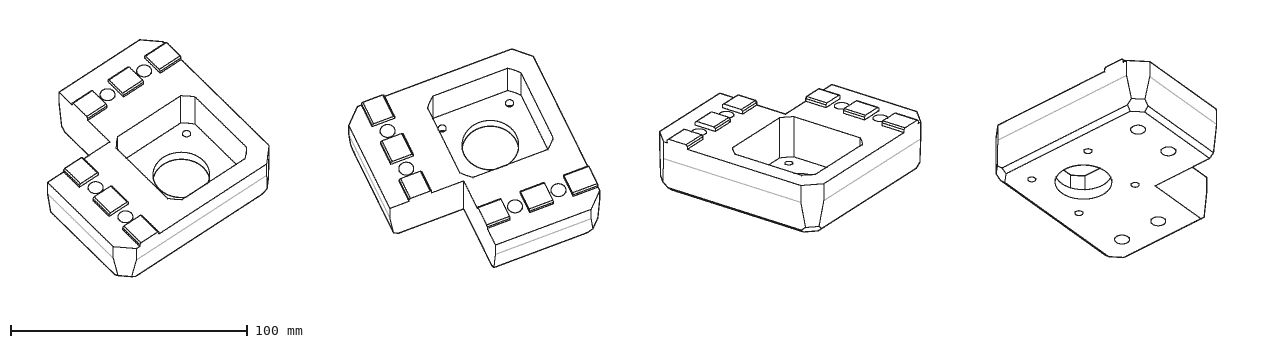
import cadquery as cq

side = 85.0
total_height = 26.0
pad_height = 1.95
body_height = total_height - pad_height
notch = 34.0
corner_cut = 7.0

vertical_band = 8.0
base_chamfer_height = 1.95
base_chamfer_inset = 2.2
draft_inset = 1.7
corner_base_height = 4.0
corner_base_inset = 3.65

pocket_size = 43.0
pocket_corner_diameter = 55.1
floor_thickness = 5.0
pocket_center = notch + pocket_size / 2
bore_diameter = 24.0
motor_hole_diameter = 3.4
motor_hole_spacing = 31.0

arm_center = 14.0
pad_width = 10.45
pad_chamfer = 0.7
pad_gap = 9.0
mount_hole_diameter = 6.3
mount_hole_places = (49.05, 69.0)


def outer_profile(plane):
    """Full-width section with drafted, chamfered sides, extruded across the part."""
    base_inset = draft_inset + base_chamfer_inset
    band_bottom = body_height - vertical_band
    return (
        cq.Workplane(plane)
        .polyline([
            (base_inset, 0),
            (side - base_inset, 0),
            (side - draft_inset, base_chamfer_height),
            (side, band_bottom),
            (side, body_height),
            (0, body_height),
            (0, band_bottom),
            (draft_inset, base_chamfer_height),
        ])
        .close()
        .extrude(-side if plane == "XZ" else side)
    )


def make_body():
    plan = (
        cq.Workplane("XY")
        .polyline([
            (notch, 0),
            (side - corner_cut, 0),
            (side, corner_cut),
            (side, side - corner_cut),
            (side - corner_cut, side),
            (corner_cut, side),
            (0, side - corner_cut),
            (0, notch),
            (notch, notch),
        ])
        .close()
        .extrude(body_height)
    )
    plan = plan.faces("<Z").edges("not (|X or |Y)").chamfer(corner_base_height, corner_base_inset)
    return plan.intersect(outer_profile("XZ")).intersect(outer_profile("YZ"))


def make_pocket():
    depth = body_height - floor_thickness
    base = cq.Workplane("XY", origin=(pocket_center, pocket_center, floor_thickness))
    square = base.rect(pocket_size, pocket_size).extrude(depth)
    circle = base.circle(pocket_corner_diameter / 2).extrude(depth)
    return square.intersect(circle)


def make_motor_holes():
    base = cq.Workplane("XY", origin=(pocket_center, pocket_center, 0))
    bore = base.circle(bore_diameter / 2).extrude(body_height)
    screws = (
        base.rect(motor_hole_spacing, motor_hole_spacing, forConstruction=True)
        .vertices()
        .circle(motor_hole_diameter / 2)
        .extrude(body_height)
    )
    return bore.union(screws)


def make_pad(start, end):
    """Pad on the arm along X, with its two long top edges chamfered."""
    return (
        cq.Workplane("XY", origin=((start + end) / 2, arm_center, body_height))
        .box(end - start, pad_width, pad_height, centered=(True, True, False))
        .faces(">Z")
        .edges("|X")
        .chamfer(pad_chamfer)
    )


def to_other_arm(shape):
    """Reflect across the plane X = Y: a quarter turn of the mirrored shape."""
    return shape.mirror("XZ").rotate((0, 0, 0), (0, 0, 1), 90)


first_hole, second_hole = mount_hole_places
pad_spans = [
    (notch, first_hole - pad_gap / 2),
    (first_hole + pad_gap / 2, second_hole - pad_gap / 2),
    (second_hole + pad_gap / 2, side),
]

result = make_body().cut(make_pocket()).cut(make_motor_holes())

for start, end in pad_spans:
    pad = make_pad(start, end)
    result = result.union(pad).union(to_other_arm(pad))

for place in mount_hole_places:
    hole = (
        cq.Workplane("XY")
        .center(place, arm_center)
        .circle(mount_hole_diameter / 2)
        .extrude(body_height)
    )
    result = result.cut(hole).cut(to_other_arm(hole))